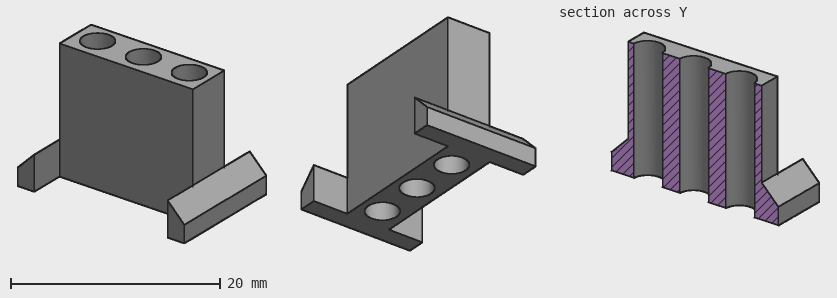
import cadquery as cq

block_length = 16.0
block_width = 5.0
block_height = 14.3

overall_length = 20.0
foot_length = 13.0
foot_height = 4.0
foot_thickness = (overall_length - block_length) / 2
foot_outer_height = foot_height - foot_thickness

hole_diameter = 3.4
hole_spacing = 5.5
hole_count = 3
hole_row_x = 0.1
hole_row_y = 0.1


def make_block():
    return cq.Workplane("XY").box(
        block_length, block_width, block_height, centered=(True, True, False)
    )


def make_foot(side):
    """Foot with a sloped top; side is -1 for the -X end and +1 for the +X end."""
    inner_x = side * block_length / 2
    outer_x = side * overall_length / 2
    profile = [
        (inner_x, 0),
        (outer_x, 0),
        (outer_x, foot_outer_height),
        (inner_x, foot_height),
    ]
    return cq.Workplane("XZ").polyline(profile).close().extrude(foot_length / 2, both=True)


def make_holes():
    return (
        cq.Workplane("XY")
        .center(hole_row_x, hole_row_y)
        .rarray(hole_spacing, 0.2, hole_count, 1)
        .circle(hole_diameter / 2)
        .extrude(block_height)
    )


result = make_block()
for side in (-1, 1):
    result = result.union(make_foot(side))
result = result.cut(make_holes())